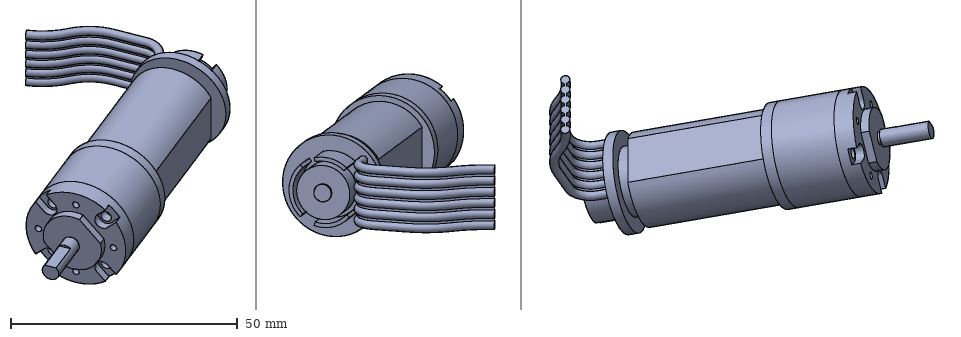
import cadquery as cq
import math


OVERALL_LENGTH = 81.3

GEARBOX_DIA = 24.0
FRONT_PLATE_LENGTH = 4.5
RING_GEAR_LENGTH = 14.6
REAR_PLATE_LENGTH = 2.5
RING_GEAR_Y = FRONT_PLATE_LENGTH
REAR_PLATE_Y = RING_GEAR_Y + RING_GEAR_LENGTH
CAN_Y = REAR_PLATE_Y + REAR_PLATE_LENGTH

BOSS_DIA = 14.0
BOSS_LENGTH = 1.95
BOSS_FLAT_DISTANCE = 6.0
BOSS_FLAT_ANGLE = 45
HOLE_CIRCLE_DIA = 18.05
SMALL_HOLE_DIA = 1.55
SCREW_HOLE_DIA = 2.5
SCREW_SLOT_WIDTH = 3.65
SCREW_SLOT_DEPTH = 2.0
SMALL_HOLE_ANGLES = (0, 90, 180, 270)
SCREW_HOLE_ANGLES = (45, 135, 225, 315)

SHAFT_TIP_Y = -14.0
SHAFT_DIA = 4.0
NECK_DIA = 2.9
NECK_LENGTH = 0.69
SHAFT_FLAT_HEIGHT = 1.5
SHAFT_FLAT_LENGTH = 8.0

CAN_DIA = 21.4
CAN_WIDTH = 18.3
CAN_LENGTH = 32.0
COLLAR_DIA = 15.9
COLLAR_LENGTH = 2.7
COLLAR_Y = CAN_Y + CAN_LENGTH

BOARD_DIA = 23.0
BOARD_LENGTH = 2.35
BOARD_Y = COLLAR_Y + COLLAR_LENGTH
BOARD_REAR_Y = BOARD_Y + BOARD_LENGTH
GUARD_DIA = COLLAR_DIA
GUARD_WALL = 0.9
GUARD_LENGTH = 6.5
GUARD_SIDE_ANGLE = 47.7
GUARD_SLOT_ANGLE = 74.4
GUARD_OPENING_START = 132
GUARD_OPENING_END = 221
MAGNET_DIA = 12.3
MAGNET_GAP = 1.8
MAGNET_LENGTH = 4.9
REAR_SHAFT_LENGTH = 7.2

LEAD_COUNT = 6
LEAD_PITCH = 2.5
LEAD_DIA = 2.0
WEB_THICKNESS = 0.5
LEAD_X = -7.15
LEAD_TOP_Y = OVERALL_LENGTH + SHAFT_TIP_Y - LEAD_DIA / 2
LEAD_ELBOW_RADIUS = 4.95
LEAD_RUN = 7.8
LEAD_BEND_RADIUS = 13.25
LEAD_TAIL_RADIUS = 17.8
LEAD_SLOPE = 43
LEAD_END_SLOPE = 12


def plane_at(y):
    """Workplane facing -Y at the given Y, with local axes along X and Z."""
    return cq.Workplane("XZ", origin=(0, y, 0))


def disc(dia, start_y, length):
    """Cylinder on the Y axis running from start_y toward +Y."""
    return plane_at(start_y).circle(dia / 2).extrude(-length)


def polar(radius, angle):
    """Point at a radius and an angle in degrees."""
    return (radius * math.cos(math.radians(angle)), radius * math.sin(math.radians(angle)))



def pilot_boss():
    boss = disc(BOSS_DIA, -BOSS_LENGTH, BOSS_LENGTH)
    flats = (
        plane_at(-BOSS_LENGTH)
        .transformed(rotate=(0, 0, BOSS_FLAT_ANGLE))
        .rect(2 * BOSS_FLAT_DISTANCE, BOSS_DIA)
        .extrude(-BOSS_LENGTH)
    )
    return boss.intersect(flats)


def plate_holes(dia, angles):
    centres = [polar(HOLE_CIRCLE_DIA / 2, angle) for angle in angles]
    return plane_at(0).pushPoints(centres).circle(dia / 2).extrude(-FRONT_PLATE_LENGTH)


def screw_slot(angle):
    """Round-ended slot around one screw hole, open at the rim."""
    inner_end = HOLE_CIRCLE_DIA / 2
    return (
        plane_at(0)
        .transformed(rotate=(0, 0, angle))
        .moveTo(GEARBOX_DIA, SCREW_SLOT_WIDTH / 2)
        .lineTo(inner_end, SCREW_SLOT_WIDTH / 2)
        .threePointArc((inner_end - SCREW_SLOT_WIDTH / 2, 0), (inner_end, -SCREW_SLOT_WIDTH / 2))
        .lineTo(GEARBOX_DIA, -SCREW_SLOT_WIDTH / 2)
        .close()
        .extrude(-SCREW_SLOT_DEPTH)
    )


def make_front_plate():
    plate = disc(GEARBOX_DIA, 0, FRONT_PLATE_LENGTH)
    for angle in SCREW_HOLE_ANGLES:
        plate = plate.cut(screw_slot(angle))
    plate = plate.cut(plate_holes(SMALL_HOLE_DIA, SMALL_HOLE_ANGLES))
    plate = plate.cut(plate_holes(SCREW_HOLE_DIA, SCREW_HOLE_ANGLES))
    return plate.union(pilot_boss())



def make_output_shaft():
    shaft_end_y = -BOSS_LENGTH - NECK_LENGTH
    shaft = disc(SHAFT_DIA, SHAFT_TIP_Y, shaft_end_y - SHAFT_TIP_Y)
    above_flat = (
        cq.Workplane("XY", origin=(0, SHAFT_TIP_Y, SHAFT_FLAT_HEIGHT))
        .box(SHAFT_DIA, SHAFT_FLAT_LENGTH, SHAFT_DIA, centered=(True, False, False))
    )
    return shaft.cut(above_flat).union(disc(NECK_DIA, shaft_end_y, NECK_LENGTH))



def motor_can():
    can = disc(CAN_DIA, CAN_Y, CAN_LENGTH)
    sides = plane_at(CAN_Y).rect(CAN_WIDTH, CAN_DIA).extrude(-CAN_LENGTH)
    return can.intersect(sides)


def guard_gap(start_angle, end_angle):
    """Wedge that clears the guard wall between two angles less than 180 degrees apart."""
    return (
        plane_at(BOARD_REAR_Y)
        .polyline([(0, 0), polar(GUARD_DIA, start_angle), polar(GUARD_DIA, end_angle)])
        .close()
        .extrude(-GUARD_LENGTH)
    )


def encoder_guard():
    wall = (
        plane_at(BOARD_REAR_Y)
        .circle(GUARD_DIA / 2)
        .circle(GUARD_DIA / 2 - GUARD_WALL)
        .extrude(-GUARD_LENGTH)
    )
    upper_slot = guard_gap(GUARD_SIDE_ANGLE, GUARD_SLOT_ANGLE)
    lower_slot = guard_gap(-GUARD_SLOT_ANGLE, -GUARD_SIDE_ANGLE)
    cable_opening = guard_gap(GUARD_OPENING_START, GUARD_OPENING_END)
    return wall.cut(upper_slot).cut(lower_slot).cut(cable_opening)


def arc_point(centre, radius, angle):
    dx, dy = polar(radius, angle)
    return (centre[0] + dx, centre[1] + dy)


def lead_path(z):
    """Path leaving the board along +Y, turning to -X and sloping down in an S-bend."""
    elbow_centre = (LEAD_X - LEAD_ELBOW_RADIUS, LEAD_TOP_Y - LEAD_ELBOW_RADIUS)
    run_end = (elbow_centre[0] - LEAD_RUN, LEAD_TOP_Y)
    bend_centre = (run_end[0], LEAD_TOP_Y - LEAD_BEND_RADIUS)
    bend_end = arc_point(bend_centre, LEAD_BEND_RADIUS, 90 + LEAD_SLOPE)
    tail_centre = arc_point(bend_centre, LEAD_BEND_RADIUS + LEAD_TAIL_RADIUS, 90 + LEAD_SLOPE)
    tail_mid_angle = (LEAD_SLOPE + LEAD_END_SLOPE) / 2 - 90
    return (
        cq.Workplane("XY", origin=(0, 0, z))
        .moveTo(LEAD_X, BOARD_REAR_Y)
        .lineTo(LEAD_X, elbow_centre[1])
        .threePointArc(
            arc_point(elbow_centre, LEAD_ELBOW_RADIUS, 45),
            arc_point(elbow_centre, LEAD_ELBOW_RADIUS, 90),
        )
        .lineTo(*run_end)
        .threePointArc(arc_point(bend_centre, LEAD_BEND_RADIUS, 90 + LEAD_SLOPE / 2), bend_end)
        .threePointArc(
            arc_point(tail_centre, LEAD_TAIL_RADIUS, tail_mid_angle),
            arc_point(tail_centre, LEAD_TAIL_RADIUS, LEAD_END_SLOPE - 90),
        )
    )


def ribbon_cable():
    """Row of round leads joined by a thin web that runs through all their axes."""
    row_width = (LEAD_COUNT - 1) * LEAD_PITCH
    web = plane_at(BOARD_REAR_Y).center(LEAD_X, 0).rect(WEB_THICKNESS, row_width)
    cable = web.sweep(lead_path(0))
    for index in range(LEAD_COUNT):
        z = index * LEAD_PITCH - row_width / 2
        lead = plane_at(BOARD_REAR_Y).center(LEAD_X, z).circle(LEAD_DIA / 2)
        cable = cable.union(lead.sweep(lead_path(z)))
    return cable


def make_motor():
    motor = motor_can()
    motor = motor.union(disc(COLLAR_DIA, COLLAR_Y, COLLAR_LENGTH))
    motor = motor.union(disc(BOARD_DIA, BOARD_Y, BOARD_LENGTH))
    motor = motor.union(encoder_guard())
    motor = motor.union(disc(MAGNET_DIA, BOARD_REAR_Y + MAGNET_GAP, MAGNET_LENGTH))
    motor = motor.union(disc(SHAFT_DIA, BOARD_REAR_Y, REAR_SHAFT_LENGTH))
    return motor.union(ribbon_cable())



output_shaft = make_output_shaft()
front_plate = make_front_plate()
ring_gear = disc(GEARBOX_DIA, RING_GEAR_Y, RING_GEAR_LENGTH)
rear_plate = disc(GEARBOX_DIA, REAR_PLATE_Y, REAR_PLATE_LENGTH)
motor = make_motor()

result = cq.Compound.makeCompound([
    output_shaft.val(),
    front_plate.val(),
    ring_gear.val(),
    rear_plate.val(),
    motor.val(),
])